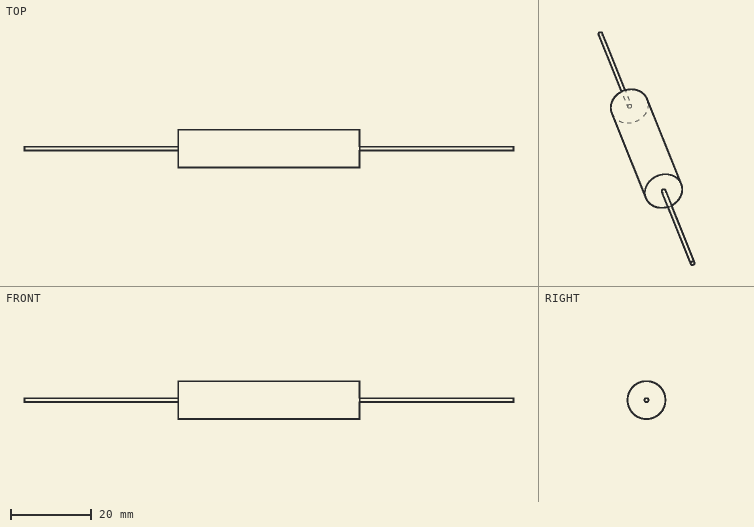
import cadquery as cq

overall_length = 121.4
housing_length = 45.0
housing_diameter = 9.5
lead_diameter = 1.02

lead_length = (overall_length - housing_length) / 2


def cylinder_along_x(start_x, length, diameter):
    """Solid cylinder on the X axis, running from start_x toward +X."""
    return cq.Workplane("YZ", origin=(start_x, 0, 0)).circle(diameter / 2).extrude(length)


def make_housing():
    """Plain cylindrical housing, centred on the origin."""
    return cylinder_along_x(-housing_length / 2, housing_length, housing_diameter)


def make_lead(start_x):
    """Straight wire lead whose inner end butts against a housing end face."""
    return cylinder_along_x(start_x, lead_length, lead_diameter)


housing = make_housing()

lead_starts = [-overall_length / 2, housing_length / 2]
leads = []
for lead_start in lead_starts:
    leads.append(make_lead(lead_start).val())

result = cq.Compound.makeCompound([housing.val(), *leads])